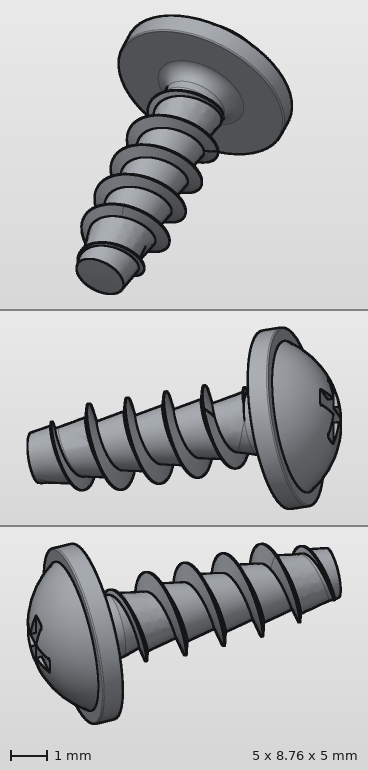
import cadquery as cq
import math


flange_radius = 2.5
flange_thickness = 0.6
flange_edge_fillet = 0.04
dome_base_radius = 2.12
dome_apex = 1.783
slot_width = 0.48
slot_floor = 1.6

shank_length = 7.0
neck_radius = 0.89
neck_fillet = 0.4
neck_length = 0.63
tip_radius = 0.71
tip_cone_height = 0.02
tip_edge = shank_length - tip_cone_height

pitch = 1.12
crest_radius = 1.25
crest_flat = 0.03
root_small_radius = 0.73
root_large_radius = 0.89
flank_head_side = 0.15
flank_tip_side = 0.14
root_end = pitch - flank_head_side
root_slope = (root_large_radius - root_small_radius) / (root_end - flank_tip_side)

run_in_start = 0.56
run_in_radius = 0.98
full_crest_start = run_in_start + pitch
full_crest_end = run_in_start + 4.25 * pitch
run_out_slope = 0.33

neck_cone_length = 0.57
tip_cone_slope = 0.17

tooth_base_radius = root_small_radius - 0.07
ramp_burial = 0.02


def make_head():
    """Flange with rounded rims under a spherical dome crossed by two slots."""
    flange = (
        cq.Workplane("YZ")
        .rect(flange_radius, -flange_thickness, centered=False)
        .revolve(360, (0, 0, 0), (0, 1, 0))
        .edges()
        .fillet(flange_edge_fillet)
    )
    rise = dome_apex - flange_thickness
    dome_sphere_radius = (dome_base_radius**2 + rise**2) / (2 * rise)
    sphere_center = dome_sphere_radius - dome_apex
    middle_angle = math.asin(dome_base_radius / dome_sphere_radius) / 2
    dome_middle = (
        dome_sphere_radius * math.sin(middle_angle),
        sphere_center - dome_sphere_radius * math.cos(middle_angle),
    )
    dome = (
        cq.Workplane("YZ")
        .moveTo(0, -dome_apex)
        .threePointArc(dome_middle, (dome_base_radius, -flange_thickness))
        .lineTo(dome_base_radius, -flange_thickness / 2)
        .lineTo(0, -flange_thickness / 2)
        .close()
        .revolve(360, (0, 0, 0), (0, 1, 0))
    )
    head = flange.union(dome)
    slot_length = 2 * flange_radius
    for length_x, length_y in ((slot_length, slot_width), (slot_width, slot_length)):
        slot = (
            cq.Workplane("XY")
            .workplane(offset=-slot_floor)
            .rect(length_x, length_y)
            .extrude(-slot_floor)
        )
        head = head.cut(slot)
    return head


def make_neck():
    """Plain neck that flares into the bearing face, starting inside the flange."""
    flare_radius = neck_radius + neck_fillet
    diagonal = neck_fillet * math.sqrt(0.5)
    flare_middle = (flare_radius - diagonal, neck_fillet - diagonal)
    return (
        cq.Workplane("YZ")
        .moveTo(0, -flange_thickness / 2)
        .lineTo(flare_radius, -flange_thickness / 2)
        .lineTo(flare_radius, 0)
        .threePointArc(flare_middle, (neck_radius, neck_fillet))
        .lineTo(neck_radius, neck_length)
        .lineTo(0, neck_length)
        .close()
        .revolve(360, (0, 0, 0), (0, 1, 0))
    )


def helical_sweep(profile, start, height, radius_slope=0.0):
    """Sweep an outline of (radius, axial offset) points along a helix in step with the thread."""
    cone_angle = math.atan(radius_slope)
    stretch = 1 / math.cos(cone_angle)
    helix_angle = math.degrees(cone_angle) if radius_slope else 360
    helix = cq.Wire.makeHelix(
        pitch * stretch,
        height * stretch,
        profile[0][0],
        cq.Vector(0, 0, start),
        angle=helix_angle,
    )
    body = (
        cq.Workplane("XZ", origin=(0, 0, start))
        .polyline(profile)
        .close()
        .sweep(cq.Workplane(helix), isFrenet=True)
    )
    start_angle = 360 * (start - run_in_start) / pitch
    return body.rotate((0, 0, 0), (0, 0, 1), start_angle)


def tooth_profile(section_radius):
    """Tooth section with its crest at the given radius and its base inside the core."""
    depth = crest_radius - tooth_base_radius
    base_head_side = depth * flank_head_side / (crest_radius - root_small_radius)
    base_tip_side = depth * flank_tip_side / (crest_radius - root_large_radius)
    return [
        (section_radius, -crest_flat / 2),
        (section_radius, crest_flat / 2),
        (section_radius - depth, base_tip_side),
        (section_radius - depth, -base_head_side),
    ]


def make_teeth():
    """Thread tooth: rising first turn, full height turns, sinking last turns."""
    run_in_slope = (crest_radius - run_in_radius) / pitch
    run_in = helical_sweep(tooth_profile(run_in_radius), run_in_start, pitch, run_in_slope)
    full_height = full_crest_end - full_crest_start
    full = helical_sweep(tooth_profile(crest_radius), full_crest_start, full_height)
    run_out_height = shank_length - full_crest_end
    run_out = helical_sweep(
        tooth_profile(crest_radius), full_crest_end, run_out_height, -run_out_slope
    )
    shank_space = (
        cq.Workplane("XY")
        .workplane(offset=neck_length)
        .circle(flange_radius)
        .extrude(tip_edge - neck_length)
    )
    return [run_in.intersect(shank_space), full, run_out.intersect(shank_space)]


def make_root_ramp():
    """Root between the teeth, falling from the tip side of a tooth to the next one."""
    sweep_start = run_in_start - pitch
    ramp_end = root_end + ramp_burial / root_slope
    ramp_bottom = root_small_radius - ramp_burial
    inner_radius = ramp_bottom - ramp_burial
    profile = [
        (root_large_radius + root_slope * flank_tip_side, 0),
        (ramp_bottom, ramp_end),
        (inner_radius, ramp_end),
        (inner_radius, 0),
    ]
    return helical_sweep(profile, sweep_start, shank_length - sweep_start + pitch)


def make_core():
    """Core with the helical root, trimmed to start at the neck and narrow to the tip."""
    envelope = (
        cq.Workplane("YZ")
        .moveTo(0, neck_length)
        .lineTo(crest_radius, neck_length)
        .lineTo(crest_radius, tip_edge - (crest_radius - tip_radius) / tip_cone_slope)
        .lineTo(tip_radius, tip_edge)
        .lineTo(0, shank_length)
        .close()
        .revolve(360, (0, 0, 0), (0, 1, 0))
    )
    cylinder = cq.Workplane("XY").circle(root_small_radius).extrude(shank_length + pitch)
    neck_cone = (
        cq.Workplane("YZ")
        .moveTo(0, neck_length)
        .lineTo(neck_radius, neck_length)
        .lineTo(root_small_radius, neck_length + neck_cone_length)
        .lineTo(0, neck_length + neck_cone_length)
        .close()
        .revolve(360, (0, 0, 0), (0, 1, 0))
    )
    return cylinder.union(make_root_ramp()).intersect(envelope).union(neck_cone)


screw = make_head().union(make_neck()).union(make_core())
for tooth in make_teeth():
    screw = screw.union(tooth)
result = screw.rotate((0, 0, 0), (1, 0, 0), 90)